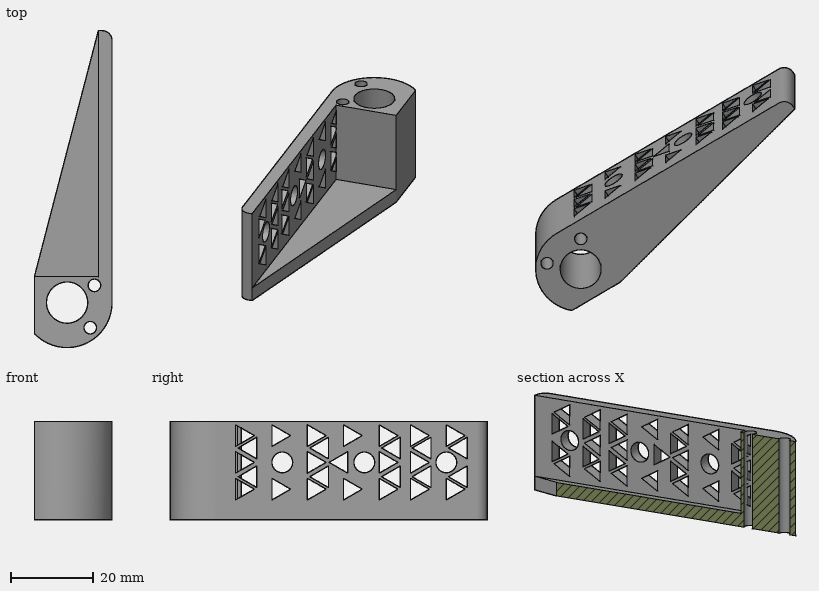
import cadquery as cq
import math

height = 24.0
hub_radius = 11.0
hub_flat_x = -8.0
hub_end_y = 6.34
bore_diameter = 10.0
pin_diameter = 3.0
pin_centers = [(6.66, 4.2), (5.65, -6.13)]

arm_length = 60.0
tip_y = hub_end_y + arm_length
web_thickness = 3.4
web_outer_x = hub_radius
web_inner_x = web_outer_x - web_thickness
tip_round = 2.5
floor_thickness = 3.5

web_hole_diameter = 5.0
web_hole_first = 10.0
web_hole_pitch = 20.0
web_hole_count = 3
pattern_z = 14.0

window_radius = 3.0
window_base_offset = window_radius / 2
window_half_side = window_radius * math.sqrt(3) / 2
outer_row = 6.53
inner_row = 3.5
middle_and_outer = [-outer_row, 0, outer_row]
outer_only = [-outer_row, outer_row]
inner_pair = [-inner_row, inner_row]

tipward_columns = [
    (10.0, outer_only),
    (18.7, middle_and_outer),
    (26.35, middle_and_outer),
    (35.05, outer_only),
    (43.85, middle_and_outer),
    (52.5, outer_only),
    (61.35, middle_and_outer),
]
hubward_columns = [
    (4.95, inner_pair),
    (13.8, inner_pair),
    (21.25, inner_pair),
    (34.05, [0]),
    (38.75, inner_pair),
    (56.25, inner_pair),
]


def make_hub_and_web():
    """Full-height hub and web, with the outer corner of the tip rounded."""
    flat_corner_y = -math.sqrt(hub_radius**2 - hub_flat_x**2)
    body = (
        cq.Workplane("XY")
        .moveTo(hub_flat_x, hub_end_y)
        .lineTo(hub_flat_x, flat_corner_y)
        .threePointArc((0, -hub_radius), (hub_radius, 0))
        .lineTo(web_outer_x, tip_y)
        .lineTo(web_inner_x, tip_y)
        .lineTo(web_inner_x, hub_end_y)
        .close()
        .extrude(height)
    )
    tip_corner = cq.selectors.NearestToPointSelector((web_outer_x, tip_y, height / 2))
    return body.edges(tip_corner).fillet(tip_round)


def make_floor():
    """Triangular floor that narrows from the hub to the tip of the web."""
    return (
        cq.Workplane("XY")
        .polyline([(hub_flat_x, hub_end_y), (web_inner_x, hub_end_y), (web_inner_x, tip_y)])
        .close()
        .extrude(floor_thickness)
    )


def make_bores():
    """Cutters for the main bore and the pin holes, all along Z."""
    bore = cq.Workplane("XY").circle(bore_diameter / 2).extrude(height)
    pins = cq.Workplane("XY").pushPoints(pin_centers).circle(pin_diameter / 2).extrude(height)
    return bore.union(pins)


def web_plane():
    """Plane on the inner face of the web: local x is Y, local y is Z."""
    return cq.Workplane("YZ", origin=(web_inner_x, 0, 0))


def make_web_holes():
    """Cutters for the row of round holes through the web."""
    centers = [
        (tip_y - web_hole_first - i * web_hole_pitch, pattern_z) for i in range(web_hole_count)
    ]
    return web_plane().pushPoints(centers).circle(web_hole_diameter / 2).extrude(web_thickness)


def make_window(base_distance, row, direction):
    """Triangular cutter; direction is +1 to point at the tip, -1 at the hub."""
    base_y = tip_y - base_distance
    apex_y = base_y + direction * (window_radius + window_base_offset)
    row_z = pattern_z + row
    return (
        web_plane()
        .polyline([
            (base_y, row_z - window_half_side),
            (base_y, row_z + window_half_side),
            (apex_y, row_z),
        ])
        .close()
        .extrude(web_thickness)
    )


def cut_windows(body):
    """Cut every triangular window through the web."""
    for columns, direction in [(tipward_columns, 1), (hubward_columns, -1)]:
        for base_distance, rows in columns:
            for row in rows:
                body = body.cut(make_window(base_distance, row, direction))
    return body


part = make_hub_and_web().union(make_floor())
part = part.cut(make_bores()).cut(make_web_holes())
result = cut_windows(part)